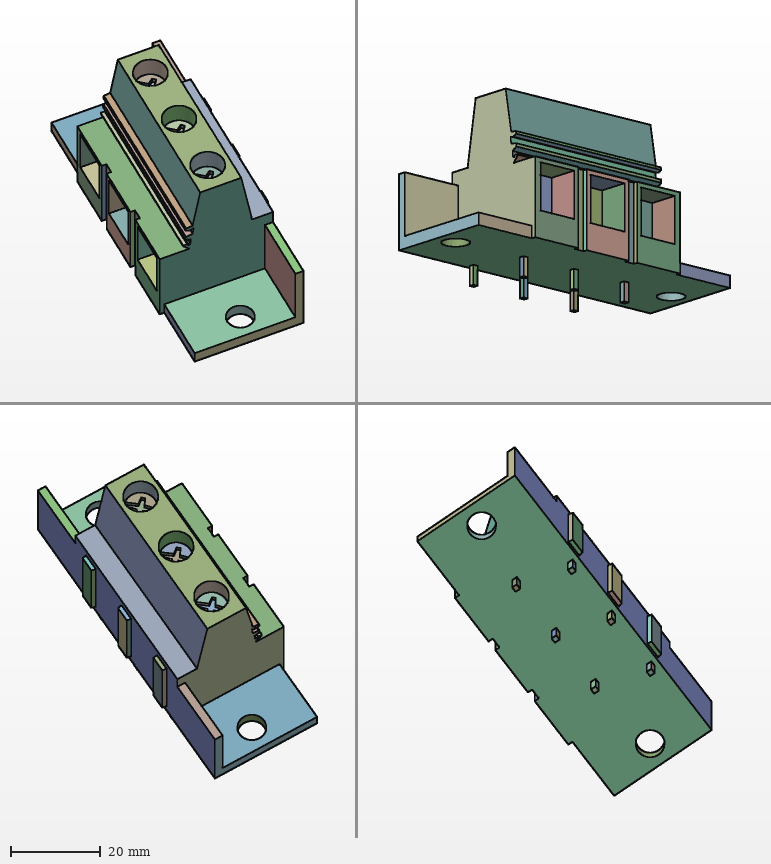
import cadquery as cq


OVERALL_LENGTH = 75.0
POLE_COUNT = 3
POLE_PITCH = 15.0
POLE_X = [(i - (POLE_COUNT - 1) / 2) * POLE_PITCH for i in range(POLE_COUNT)]
SCREW_Y = -13.05

BODY_LENGTH = 43.2
BODY_DEPTH = 28.0
BODY_HEIGHT = 36.8
REAR_LEDGE_DEPTH = 5.2
REAR_LEDGE_HEIGHT = 21.2
FRONT_LEDGE_HEIGHT = 18.9
TOWER_TOP_REAR_Y = -7.9
TOWER_TOP_FRONT_Y = -18.0

UPPER_TOOTH = [(-19.9, 26.4), (-21.45, 26.2), (-21.6, 25.5), (-20.55, 25.05), (-19.65, 25.3)]
MIDDLE_TOOTH = [(-19.9, 23.6), (-21.5, 23.3), (-21.7, 22.5), (-20.3, 21.75)]
LOWER_TOOTH = [(-20.4, 20.55), (-20.8, 20.2), (-21.2, 20.7), (-22.2, 20.7), (-22.2, 20.5)]
FRONT_LEDGE_REAR_Y = -20.7

FLANGE_DEPTH = 26.85
FLANGE_THICKNESS = 2.9
FLANGE_WALL_HEIGHT = 17.8
FLANGE_WALL_THICKNESS = 2.0
MOUNTING_HOLE_DIAMETER = 6.45
MOUNTING_HOLE_EDGE_DISTANCE = 5.4

POCKET_WIDTH = 10.05
POCKET_HEIGHT = 11.25
POCKET_FLOOR_HEIGHT = 6.5
POCKET_DEPTH = 7.6
GROOVE_WIDTH = 2.55
GROOVE_DEPTH = BODY_DEPTH - FLANGE_DEPTH
RIB_BASE_WIDTH = 4.1
RIB_TIP_WIDTH = 3.7
RIB_PROJECTION = 1.05
RIB_BOTTOM = 2.0
RIB_TOP = 19.1

SCREW_HOLE_DIAMETER = 7.8
SCREW_DIAMETER = 7.5
SCREW_RECESS = 4.9
SCREW_HEIGHT = 4.5
SCREW_BOTTOM = BODY_HEIGHT - SCREW_RECESS - SCREW_HEIGHT
SLOT_DEPTH = 1.1
SLOT_ANGLE = 45.0
SLOT_MIDDLE_WIDTH = 1.6
SLOT_END_WIDTH = 0.9
SHORT_SLOT_LENGTH = 4.95

PIN_WIDTH = 1.3
PIN_LENGTH = 4.65
PIN_OFFSET_X = 1.95
REAR_PIN_Y = -1.95
FRONT_PIN_Y = -14.5


def box(x_range, y_range, z_range):
    """Axis-aligned box between the given limits."""
    size = [high - low for low, high in (x_range, y_range, z_range)]
    corner = (x_range[0], y_range[0], z_range[0])
    return cq.Workplane("XY").box(*size, centered=False).translate(corner)


def centred(middle, width):
    """Limits of a span of the given width about its middle."""
    return (middle - width / 2, middle + width / 2)


def make_body():
    """Stepped body with a tapered tower, extruded along X."""
    profile = [
        (0, 0),
        (0, REAR_LEDGE_HEIGHT),
        (-REAR_LEDGE_DEPTH, REAR_LEDGE_HEIGHT),
        (TOWER_TOP_REAR_Y, BODY_HEIGHT),
        (TOWER_TOP_FRONT_Y, BODY_HEIGHT),
        *UPPER_TOOTH,
        *MIDDLE_TOOTH,
        *LOWER_TOOTH,
        (FRONT_LEDGE_REAR_Y, FRONT_LEDGE_HEIGHT),
        (-BODY_DEPTH, FRONT_LEDGE_HEIGHT),
        (-BODY_DEPTH, 0),
    ]
    return cq.Workplane("YZ").polyline(profile).close().extrude(BODY_LENGTH / 2, both=True)


def make_flanges():
    """L-section strip over the full length; it leaves a flange at each end of the body."""
    profile = [
        (0, 0),
        (0, FLANGE_WALL_HEIGHT),
        (-FLANGE_WALL_THICKNESS, FLANGE_WALL_HEIGHT),
        (-FLANGE_WALL_THICKNESS, FLANGE_THICKNESS),
        (-FLANGE_DEPTH, FLANGE_THICKNESS),
        (-FLANGE_DEPTH, 0),
    ]
    strip = cq.Workplane("YZ").polyline(profile).close().extrude(OVERALL_LENGTH / 2, both=True)
    hole_x = OVERALL_LENGTH / 2 - MOUNTING_HOLE_EDGE_DISTANCE
    holes = (
        cq.Workplane("XY")
        .pushPoints([(-hole_x, SCREW_Y), (hole_x, SCREW_Y)])
        .circle(MOUNTING_HOLE_DIAMETER / 2)
        .extrude(FLANGE_THICKNESS)
    )
    return strip.cut(holes)


def make_rear_rib(x):
    """Upright rib of trapezoidal section on the rear face."""
    section = [
        (x - RIB_BASE_WIDTH / 2, 0),
        (x + RIB_BASE_WIDTH / 2, 0),
        (x + RIB_TIP_WIDTH / 2, RIB_PROJECTION),
        (x - RIB_TIP_WIDTH / 2, RIB_PROJECTION),
    ]
    plane = cq.Workplane("XY").workplane(offset=RIB_BOTTOM)
    return plane.polyline(section).close().extrude(RIB_TOP - RIB_BOTTOM)


def make_wire_pocket(x):
    """Blind rectangular wire entry in the front face."""
    return box(
        centred(x, POCKET_WIDTH),
        (-BODY_DEPTH, -BODY_DEPTH + POCKET_DEPTH),
        (POCKET_FLOOR_HEIGHT, POCKET_FLOOR_HEIGHT + POCKET_HEIGHT),
    )


def make_front_groove(x):
    """Upright groove in the front face, between two poles."""
    return box(
        centred(x, GROOVE_WIDTH),
        (-BODY_DEPTH, -BODY_DEPTH + GROOVE_DEPTH),
        (0, FRONT_LEDGE_HEIGHT),
    )


def make_cylinder(x, diameter, bottom, top):
    """Upright cylinder on the screw axis of the pole at x."""
    plane = cq.Workplane("XY", origin=(x, SCREW_Y, bottom))
    return plane.circle(diameter / 2).extrude(top - bottom)


def make_housing():
    housing = make_body().union(make_flanges())
    for x in POLE_X:
        housing = housing.union(make_rear_rib(x))
    for x in POLE_X:
        housing = housing.cut(make_wire_pocket(x))
        housing = housing.cut(make_cylinder(x, SCREW_HOLE_DIAMETER, SCREW_BOTTOM, BODY_HEIGHT))
    for left_x in POLE_X[:-1]:
        housing = housing.cut(make_front_groove(left_x + POLE_PITCH / 2))
    return housing


def make_slot(length):
    """Slot cutter along X, widest at its middle and tapering to both ends."""
    section = [
        (-length / 2, -SLOT_END_WIDTH / 2),
        (0, -SLOT_MIDDLE_WIDTH / 2),
        (length / 2, -SLOT_END_WIDTH / 2),
        (length / 2, SLOT_END_WIDTH / 2),
        (0, SLOT_MIDDLE_WIDTH / 2),
        (-length / 2, SLOT_END_WIDTH / 2),
    ]
    return cq.Workplane("XY").polyline(section).close().extrude(SLOT_DEPTH)


def make_screw(x):
    """Screw with a cross recess: a slot across the whole head and a shorter one square to it."""
    head_top = SCREW_BOTTOM + SCREW_HEIGHT
    screw = make_cylinder(x, SCREW_DIAMETER, SCREW_BOTTOM, head_top)
    for length, angle in [(SCREW_DIAMETER, SLOT_ANGLE), (SHORT_SLOT_LENGTH, SLOT_ANGLE + 90)]:
        slot = make_slot(length).rotate((0, 0, 0), (0, 0, 1), angle)
        screw = screw.cut(slot.translate((x, SCREW_Y, head_top - SLOT_DEPTH)))
    return screw


def make_pin(x, y):
    """Square solder pin standing out of the housing underside."""
    return box(centred(x, PIN_WIDTH), centred(y, PIN_WIDTH), (-PIN_LENGTH, 0))


housing = make_housing()
screws = [make_screw(x) for x in POLE_X]

pins = []
for pole_x in POLE_X:
    pins.append(make_pin(pole_x - PIN_OFFSET_X, REAR_PIN_Y))
    pins.append(make_pin(pole_x + PIN_OFFSET_X, FRONT_PIN_Y))

result = cq.Compound.makeCompound(
    [housing.val()] + [screw.val() for screw in screws] + [pin.val() for pin in pins]
)